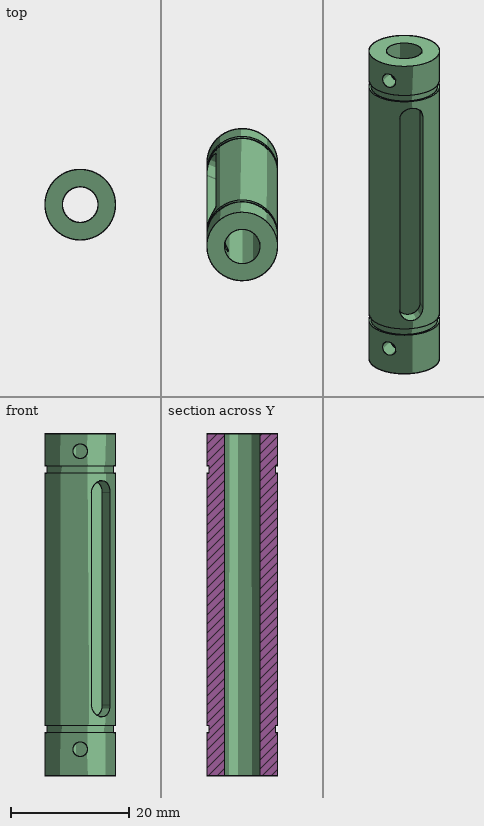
import cadquery as cq

shaft_diameter = 12.0
shaft_radius = shaft_diameter / 2
shaft_length = 58.0
bore_diameter = 6.0

groove_diameter = 11.3
groove_width = 1.2
lower_groove_bottom = 7.3
upper_groove_bottom = 51.3

screw_hole_diameter = 2.46
lower_hole_height = 4.5
upper_hole_height = 55.0

key_width = 4.0
key_length = 40.0
key_depth = 2.5
key_bottom = 10.0
key_angle = 38.0


def make_tube():
    outer = cq.Workplane("XY").circle(shaft_radius).extrude(shaft_length)
    bore = cq.Workplane("XY").circle(bore_diameter / 2).extrude(shaft_length)
    return outer.cut(bore)


def make_groove(bottom):
    """Ring of material removed by one retaining ring groove."""
    return (
        cq.Workplane("XY")
        .workplane(offset=bottom)
        .circle(shaft_radius)
        .circle(groove_diameter / 2)
        .extrude(groove_width)
    )


def make_screw_hole(height):
    """Cylinder from the shaft axis out through the -Y wall."""
    return (
        cq.Workplane("XZ")
        .center(0, height)
        .circle(screw_hole_diameter / 2)
        .extrude(shaft_radius)
    )


def make_keyway():
    """Flat-floored slot cut on the -Y side, then turned to its angle."""
    return (
        cq.Workplane("XZ")
        .workplane(offset=shaft_radius - key_depth)
        .center(0, key_bottom + key_length / 2)
        .slot2D(key_length, key_width, 90)
        .extrude(key_depth)
        .rotate((0, 0, 0), (0, 0, 1), key_angle)
    )


result = make_tube()
for groove_bottom in (lower_groove_bottom, upper_groove_bottom):
    result = result.cut(make_groove(groove_bottom))
for hole_height in (lower_hole_height, upper_hole_height):
    result = result.cut(make_screw_hole(hole_height))
result = result.cut(make_keyway())